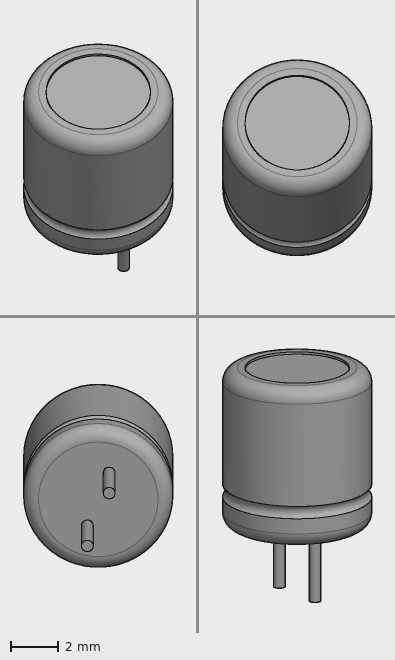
import cadquery as cq

total_height = 10.0
can_diameter = 6.3
can_radius = can_diameter / 2
can_bottom = 3.0
edge_radius = can_radius / 5

groove_height = can_bottom + can_radius / 2
groove_radius = edge_radius / 2
groove_depth = groove_radius / 2

recess_radius = 2.2
recess_depth = 0.1

lead_diameter = 0.5
lead_spacing = 2.5
lead_overlap = 0.1


def make_can():
    """Closed can with rounded top and bottom edges."""
    can = (
        cq.Workplane("XY", origin=(0, 0, can_bottom))
        .circle(can_radius)
        .extrude(total_height - can_bottom)
    )
    return can.faces("<Z or >Z").edges().fillet(edge_radius)


def make_groove_cutter():
    """Torus whose inner side reaches the groove depth into the can wall."""
    ring_radius = can_radius - groove_depth + groove_radius
    return (
        cq.Workplane("XZ")
        .center(ring_radius, groove_height)
        .circle(groove_radius)
        .revolve(360, (-ring_radius, 0), (-ring_radius, 1))
    )


def make_recess_cutter():
    """Disc that sinks the centre of the top face."""
    return (
        cq.Workplane("XY", origin=(0, 0, total_height - recess_depth))
        .circle(recess_radius)
        .extrude(recess_depth)
    )


def make_leads():
    """Two straight round leads, spaced along X."""
    return (
        cq.Workplane("XY")
        .pushPoints([(side * lead_spacing / 2, 0) for side in (-1, 1)])
        .circle(lead_diameter / 2)
        .extrude(can_bottom + lead_overlap)
    )


result = (
    make_can()
    .cut(make_groove_cutter())
    .cut(make_recess_cutter())
    .union(make_leads())
)